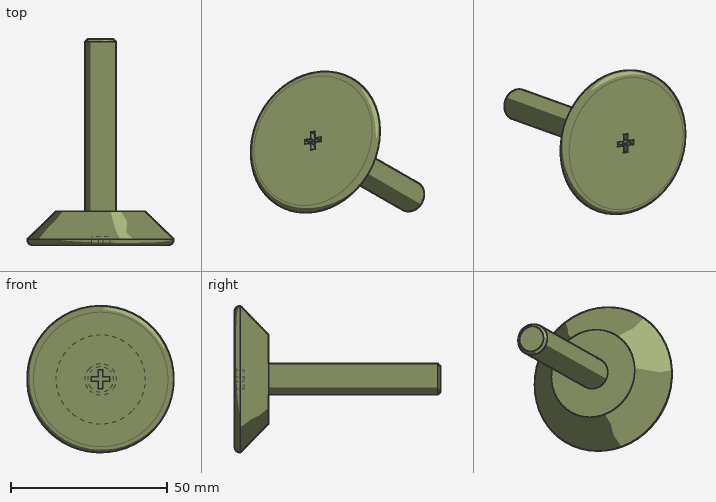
import cadquery as cq

total_length = 66.0
head_diameter = 47.0
rim_radius = 2.0
cone_length = 9.0
cone_end_diameter = 28.5
head_length = rim_radius + cone_length

shank_diameter = 10.0
tip_chamfer = 0.9

cross_span = 6.0
cross_arm_width = 1.45
cross_depth = 3.0

head_radius = head_diameter / 2
cone_end_radius = cone_end_diameter / 2
shank_radius = shank_diameter / 2
face_y = -total_length / 2
rim_y = face_y + rim_radius
head_back_y = face_y + head_length
tip_y = total_length / 2


def make_body():
    """Revolve the head, with its rounded rim and conical back, and the shank."""
    profile = (
        cq.Workplane("XY")
        .moveTo(0, face_y)
        .lineTo(head_radius - rim_radius, face_y)
        .radiusArc((head_radius, rim_y), -rim_radius)
        .lineTo(cone_end_radius, head_back_y)
        .lineTo(shank_radius, head_back_y)
        .lineTo(shank_radius, tip_y - tip_chamfer)
        .lineTo(shank_radius - tip_chamfer, tip_y)
        .lineTo(0, tip_y)
        .close()
    )
    return profile.revolve(360, (0, 0, 0), (0, 1, 0))


def make_cross_recess():
    """Two crossed bars that sink into the flat face."""
    floor_plane = cq.Workplane("XZ", origin=(0, face_y + cross_depth, 0))
    level_bar = floor_plane.rect(cross_span, cross_arm_width).extrude(cross_depth)
    upright_bar = floor_plane.rect(cross_arm_width, cross_span).extrude(cross_depth)
    return level_bar.union(upright_bar)


result = make_body().cut(make_cross_recess())